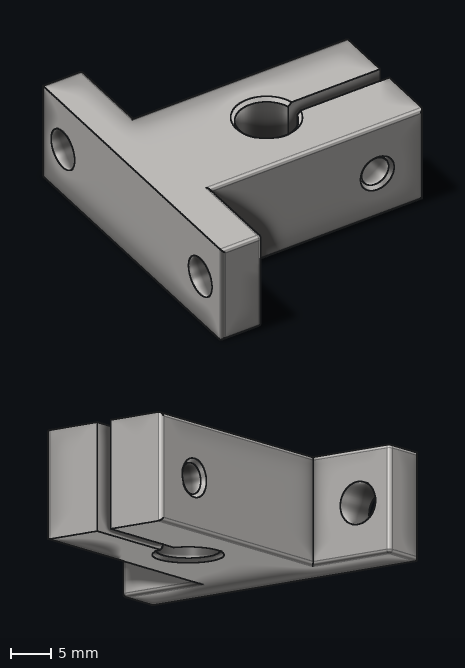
import cadquery as cq

base_width = 42.0
base_depth = 6.0
total_depth = 37.5
thickness = 14.0
column_width = 18.0
edge_radius = 0.5

bore_diameter = 8.0
bore_y = 20.0
slot_width = 2.1

screw_diameter = 4.0
screw_y = total_depth - 6.85
screw_z = -0.3

mount_diameter = 5.5
mount_spacing = 32.0

mouth_chamfer = 0.5

half_column = column_width / 2


def make_body():
    """T-shaped block, centred on X and Z, with the base's front face on Y = 0."""
    base = cq.Workplane("XY").box(base_width, base_depth, thickness, centered=(True, False, True))
    column = cq.Workplane("XY").box(column_width, total_depth, thickness, centered=(True, False, True))
    return base.union(column).clean()


def is_rounded(edge):
    """True for outer edges, except the inner corners and the long edges of the front and end faces."""
    center = edge.Center()
    tolerance = 0.005
    upright = abs(center.z) < tolerance
    if upright:
        inner_corner = (
            abs(abs(center.x) - half_column) < tolerance
            and abs(center.y - base_depth) < tolerance
        )
        return not inner_corner
    on_front = abs(center.y) < tolerance
    on_column_end = abs(center.y - total_depth) < tolerance
    return not (on_front or on_column_end)


def round_edges(body):
    edges = [edge for edge in body.edges().vals() if is_rounded(edge)]
    return body.newObject(edges).fillet(edge_radius)


def chamfered_hole(plane, diameter, length):
    """Cutter centred on the plane, widening by the mouth chamfer at both ends."""
    radius = diameter / 2
    half_length = length / 2
    mouth_radius = radius + mouth_chamfer
    cutter = cq.Workplane(plane).circle(radius).extrude(half_length, both=True)
    for direction in (1, -1):
        mouth = (
            cq.Workplane(plane)
            .workplane(offset=direction * half_length)
            .circle(mouth_radius)
            .workplane(offset=-direction * mouth_chamfer)
            .circle(radius)
            .loft(ruled=True)
        )
        cutter = cutter.union(mouth)
    return cutter


body = round_edges(make_body())

body = body.cut(chamfered_hole("XY", bore_diameter, thickness).translate((0, bore_y, 0)))

slot = (
    cq.Workplane("XY")
    .box(slot_width, total_depth - bore_y, thickness, centered=(True, False, True))
    .translate((0, bore_y, 0))
)
body = body.cut(slot)

body = body.cut(chamfered_hole("YZ", screw_diameter, column_width).translate((0, screw_y, screw_z)))

mount_holes = (
    cq.Workplane("XZ")
    .pushPoints([(-mount_spacing / 2, 0), (mount_spacing / 2, 0)])
    .circle(mount_diameter / 2)
    .extrude(-base_depth)
)
result = body.cut(mount_holes)